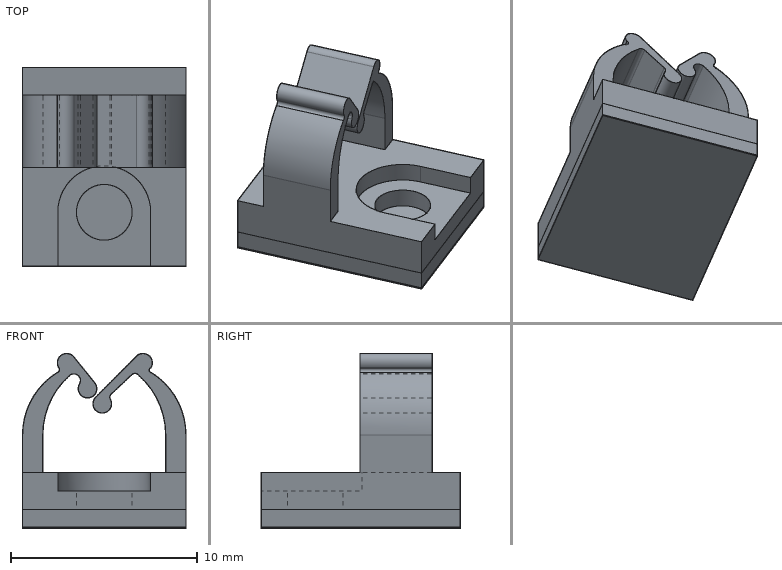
import cadquery as cq
import math

width = 8.8
depth = 10.7
total_height = 9.4
liner_thickness = 0.07
pad_top = 1.02
plate_top = 3.02

seat_width = 5.0
seat_depth = 1.0
seat_center_from_front = 2.91
screw_hole_diameter = 3.0

arm_thickness = 1.1
arm_back_setback = 1.5
arm_length = 3.9
arm_bend_height = 5.02
outer_bend_radius = 3.96
inner_bend_radius = 4.28
outer_bend_end = 8.37
inner_bend_end = 8.24

bead_radius = 0.5
top_bead_height = total_height - bead_radius
left_top_bead = (-2.02, top_bead_height)
right_top_bead = (2.09, top_bead_height)
left_tip_bead = (-0.9, 7.51)
right_tip_bead = (-0.11, 6.7)
notch_bead_angle = -33.0
notch_bottom = (2.42, 8.5)
left_tip_angle = 152.0
right_tip_angle = 26.0

left_pocket_start = (-1.28, 7.91)
left_pocket_mid = (-1.41, 8.22)
right_fillet_mid = (0.31, 7.08)
right_fillet_end = (0.39, 7.22)
right_crown_start = (1.5, 8.27)
right_crown_mid = (1.67, 8.32)

outer_x = width / 2
inner_x = outer_x - arm_thickness
front_y = -depth / 2
seat_y = front_y + seat_center_from_front
arm_back_y = depth / 2 - arm_back_setback


def layer(bottom, top):
    """Full-footprint slab between two heights."""
    return cq.Workplane("XY").workplane(offset=bottom).rect(width, depth).extrude(top - bottom)


def mirrored(point):
    return (-point[0], point[1])


def on_circle(center, angle, radius=bead_radius):
    """Point on a circle at an angle in degrees from +X toward +Z."""
    a = math.radians(angle)
    return (center[0] + radius * math.cos(a), center[1] + radius * math.sin(a))


def bend_points(wall_x, radius, end_height):
    """Middle and end of the right-hand arc that continues a vertical wall."""
    center = (wall_x - radius, arm_bend_height)
    end_angle = math.degrees(math.asin((end_height - arm_bend_height) / radius))
    return on_circle(center, end_angle / 2, radius), on_circle(center, end_angle, radius)


def direction(start, end):
    return math.degrees(math.atan2(end[1] - start[1], end[0] - start[0]))


outer_mid, outer_end = bend_points(outer_x, outer_bend_radius, outer_bend_end)
inner_mid, inner_end = bend_points(inner_x, inner_bend_radius, inner_bend_end)


def extrude_arm(outline):
    return outline.close().extrude(arm_length)


def arm_plane():
    return cq.Workplane("XZ", origin=(0, arm_back_y, 0))


def left_arm():
    """Arm ending in a short hook that points down to the right."""
    tangent = direction(left_top_bead, left_tip_bead) + 90
    notch_angle = 180 - notch_bead_angle
    outline = (
        arm_plane()
        .moveTo(-outer_x, plate_top)
        .lineTo(-outer_x, arm_bend_height)
        .threePointArc(mirrored(outer_mid), mirrored(outer_end))
        .threePointArc(mirrored(notch_bottom), on_circle(left_top_bead, notch_angle))
        .threePointArc(
            on_circle(left_top_bead, (notch_angle + tangent) / 2),
            on_circle(left_top_bead, tangent),
        )
        .lineTo(*on_circle(left_tip_bead, tangent))
        .threePointArc(
            on_circle(left_tip_bead, (tangent + left_tip_angle - 360) / 2),
            on_circle(left_tip_bead, left_tip_angle),
        )
        .lineTo(*left_pocket_start)
        .threePointArc(left_pocket_mid, mirrored(inner_end))
        .threePointArc(mirrored(inner_mid), (-inner_x, arm_bend_height))
        .lineTo(-inner_x, plate_top)
    )
    return extrude_arm(outline)


def right_arm():
    """Arm ending in a long hook that reaches below the left one."""
    tangent = direction(right_top_bead, right_tip_bead) - 90 + 360
    outline = (
        arm_plane()
        .moveTo(outer_x, plate_top)
        .lineTo(outer_x, arm_bend_height)
        .threePointArc(outer_mid, outer_end)
        .threePointArc(notch_bottom, on_circle(right_top_bead, notch_bead_angle))
        .threePointArc(
            on_circle(right_top_bead, (notch_bead_angle + tangent) / 2),
            on_circle(right_top_bead, tangent),
        )
        .lineTo(*on_circle(right_tip_bead, tangent))
        .threePointArc(
            on_circle(right_tip_bead, (tangent + right_tip_angle + 360) / 2),
            on_circle(right_tip_bead, right_tip_angle),
        )
        .threePointArc(right_fillet_mid, right_fillet_end)
        .lineTo(*right_crown_start)
        .threePointArc(right_crown_mid, inner_end)
        .threePointArc(inner_mid, (inner_x, arm_bend_height))
        .lineTo(inner_x, plate_top)
    )
    return extrude_arm(outline)


def screw_seat():
    """Round-ended recess, open at the front, with a hole through the plate."""
    seat = cq.Workplane("XY").workplane(offset=plate_top - seat_depth)
    round_end = seat.center(0, seat_y).circle(seat_width / 2).extrude(seat_depth)
    channel = (
        seat.center(0, (front_y + seat_y) / 2)
        .rect(seat_width, seat_center_from_front)
        .extrude(seat_depth)
    )
    hole = (
        cq.Workplane("XY", origin=(0, seat_y, pad_top))
        .circle(screw_hole_diameter / 2)
        .extrude(plate_top - pad_top)
    )
    return round_end.union(channel).union(hole)


def make_clip():
    plate = layer(pad_top, plate_top).cut(screw_seat())
    return plate.union(left_arm()).union(right_arm()).solids()


liner = layer(0, liner_thickness)
adhesive_pad = layer(liner_thickness, pad_top)
clip = make_clip()

result = cq.Compound.makeCompound([liner.val(), adhesive_pad.val(), clip.val()])